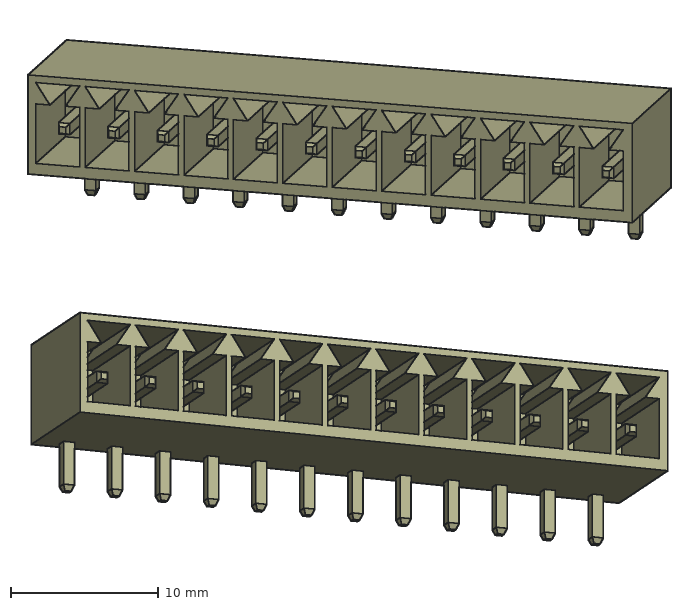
import cadquery as cq


pole_count = 12
pole_pitch = 3.5
end_margin = 2.15

housing_length = (pole_count - 1) * pole_pitch + 2 * end_margin
housing_depth = 9.2
housing_height = 7.0

socket_width = 3.1
socket_shift = -0.05
socket_depth = 7.0
socket_floor = 0.8
socket_ceiling = 5.0
keyway_roof = 0.5
keyway_top = housing_height - keyway_roof
keyway_neck = 1.1

pin_size = 0.8
pin_height = 3.0
pin_tip_setback = 1.0
pin_from_back = 1.2
tail_length = 3.4
tip_taper_length = 0.4
tip_taper_inset = 0.17

tail_y = housing_depth - pin_from_back


def make_housing():
    return cq.Workplane("XY").box(
        housing_length, housing_depth, housing_height, centered=(True, False, False)
    )


def make_socket():
    """Cavity and keyway of one pole, centred on X = 0 and running back from the open face."""
    half_width = socket_width / 2
    half_neck = keyway_neck / 2
    outline = [
        (-half_width, socket_floor),
        (half_width, socket_floor),
        (half_width, socket_ceiling),
        (half_neck, socket_ceiling),
        (half_width, keyway_top),
        (-half_width, keyway_top),
        (-half_neck, socket_ceiling),
        (-half_width, socket_ceiling),
    ]
    return cq.Workplane("XZ").polyline(outline).close().extrude(-socket_depth)


def make_leg(length):
    """Square bar standing on Z = 0 with a tapered tip at its upper end."""
    shank_length = length - tip_taper_length
    tip_size = pin_size - 2 * tip_taper_inset
    shank = cq.Workplane("XY").rect(pin_size, pin_size).extrude(shank_length)
    tip = (
        cq.Workplane("XY", origin=(0, 0, shank_length))
        .rect(pin_size, pin_size)
        .workplane(offset=tip_taper_length)
        .rect(tip_size, tip_size)
        .loft(ruled=True)
    )
    return shank.union(tip)


def make_pin():
    """Bent pin of one pole, centred on X = 0."""
    half_size = pin_size / 2
    mating_leg = (
        make_leg(tail_y + half_size - pin_tip_setback)
        .rotate((0, 0, 0), (1, 0, 0), 90)
        .translate((0, tail_y + half_size, pin_height))
    )
    tail = (
        make_leg(pin_height + half_size + tail_length)
        .rotate((0, 0, 0), (1, 0, 0), 180)
        .translate((0, tail_y, pin_height + half_size))
    )
    return mating_leg.union(tail)


socket = make_socket()
pin = make_pin()
first_pole_x = end_margin - housing_length / 2

result = make_housing()
for pole in range(pole_count):
    pole_x = first_pole_x + pole * pole_pitch
    result = result.cut(socket.translate((pole_x + socket_shift, 0, 0)))
    result = result.union(pin.translate((pole_x, 0, 0)))